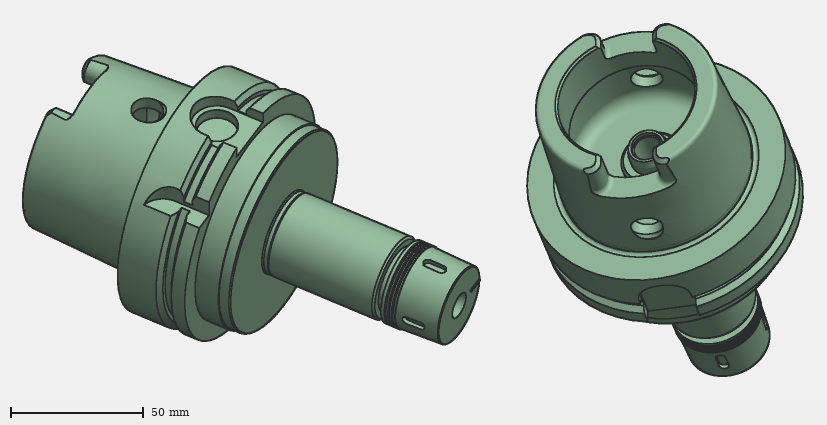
import cadquery as cq
import math

TOTAL_LENGTH = 170.0
MARK_HEIGHT = 0.5
NUT_FACE_X = TOTAL_LENGTH - MARK_HEIGHT

TIP_RADIUS = 35.2
TAPER_END_RADIUS = 37.4
TAPER_END_X = 47.6
TIP_ROUNDING = 1.7
ROOT_NECK_RADIUS = 37.2
ROOT_NECK_START_X = 48.3

FLANGE_X = 50.0
FLANGE_END_X = 79.0
FLANGE_RADIUS = 50.0
FACE_RELIEF_X = 49.5
FACE_RELIEF_OUTER_RADIUS = 39.8
GRIPPER_GROOVE_X = 69.95
GRIPPER_GROOVE_MOUTH = 6.6
GRIPPER_GROOVE_FLOOR = 3.5
GRIPPER_GROOVE_WALL_RADIUS = 47.5
GRIPPER_GROOVE_RADIUS = 45.7

COLLAR_RADIUS = 42.0
COLLAR_STEP_X = 89.0
COLLAR_END_X = 93.8
COLLAR_END_RADIUS = 41.5
COLLAR_CHAMFER = 0.5
NECK_RADIUS = 17.0
NECK_RELIEF_RADIUS = 16.8
NECK_ROOT_RADIUS = 17.2
NECK_RELIEF_START_X = 94.5
NECK_RELIEF_END_X = 96.2
NECK_START_X = 96.7
NECK_END_X = 142.1
NECK_CHAMFER = 0.8

NUT_GAP_RADIUS = 13.5
NUT_START_X = 145.2
NUT_RING_END_X = 151.3
NUT_RADIUS = 17.0
NUT_TAPER_START_RADIUS = 16.7
NUT_TAPER_END_RADIUS = 16.0
NUT_CHAMFER = 0.3
NUT_GROOVE_COUNT = 3
NUT_GROOVE_OFFSET = 1.5
NUT_GROOVE_PITCH = 1.5
NUT_GROOVE_WIDTH = 0.5
NUT_GROOVE_DEPTH = 0.5
NUT_SLOT_COUNT = 4
NUT_SLOT_X = 159.0
NUT_SLOT_LENGTH = 9.5
NUT_SLOT_WIDTH = 3.7
NUT_SLOT_FLOOR_RADIUS = 14.5
MARK_INNER_RADIUS = 8.3
MARK_OUTER_RADIUS = 15.3
MARK_WIDTH = 0.3

BORE_RADIUS = 26.5
BORE_CHAMFER = 0.8
BORE_END_X = 19.5
UNDERCUT_RADIUS = 31.3
UNDERCUT_ENTRY_ANGLE = 60.0
CAVITY_FLOOR_X = 46.5
CAVITY_FLOOR_ROUNDING = 5.6
BOSS_RADIUS = 11.98
BOSS_FACE_X = 42.2
BOSS_CHAMFER = 1.0
TUBE_RADIUS = 8.0
TUBE_TIP_RADIUS = 7.1
TUBE_FACE_X = 34.3
TUBE_TAPER_END_X = 37.4
COOLANT_RADIUS = 5.3
COOLANT_COUNTERBORE_RADIUS = 6.04
COOLANT_COUNTERBORE_DEPTH = 1.7

DRIVE_SLOT_WIDTH = 20.0
DRIVE_SLOT_TOP_DEPTH = 10.0
DRIVE_SLOT_BOTTOM_DEPTH = 15.0
DRIVE_SLOT_SHOULDER_Z = 31.8
DRIVE_SLOT_FLARE_RADIUS = 4.5
DRIVE_SLOT_ROOT_ROUNDING = 2.0
DRIVE_SLOT_BEVEL = 1.7

ACCESS_HOLE_X = 34.7
ACCESS_HOLE_RADIUS = 6.04
ACCESS_SINK_RADIUS = 6.5
ACCESS_SINK_SHIFT = 0.8
ACCESS_SINK_TOP_Z = 36.9

POCKET_WIDTH = 20.0
POCKET_CENTER_X = 64.8
POCKET_FLOOR_Z = 44.0
CHIP_HOLE_RADIUS = 8.0
CHIP_HOLE_DEPTH = 4.6
NOTCH_WALL_Y = -31.3
NOTCH_FLOOR_Z = 31.6


def revolve_about_axis(points):
    """Turn an (x, radius) outline around the X axis."""
    return cq.Workplane("XY").polyline(points).close().revolve(360, (0, 0, 0), (1, 0, 0))


def turned_body():
    """Outer shape as turned, with the rim of the shank tip rounded."""
    mouth = GRIPPER_GROOVE_MOUTH / 2
    floor = GRIPPER_GROOVE_FLOOR / 2
    body = revolve_about_axis([
        (0, 0),
        (0, TIP_RADIUS),
        (TAPER_END_X, TAPER_END_RADIUS),
        (ROOT_NECK_START_X, ROOT_NECK_RADIUS),
        (FLANGE_X, ROOT_NECK_RADIUS),
        (FLANGE_X, FLANGE_RADIUS),
        (GRIPPER_GROOVE_X - mouth, FLANGE_RADIUS),
        (GRIPPER_GROOVE_X - floor, GRIPPER_GROOVE_WALL_RADIUS),
        (GRIPPER_GROOVE_X - floor, GRIPPER_GROOVE_RADIUS),
        (GRIPPER_GROOVE_X + floor, GRIPPER_GROOVE_RADIUS),
        (GRIPPER_GROOVE_X + floor, GRIPPER_GROOVE_WALL_RADIUS),
        (GRIPPER_GROOVE_X + mouth, FLANGE_RADIUS),
        (FLANGE_END_X, FLANGE_RADIUS),
        (FLANGE_END_X, COLLAR_RADIUS),
        (COLLAR_STEP_X, COLLAR_RADIUS),
        (COLLAR_STEP_X, COLLAR_END_RADIUS),
        (COLLAR_END_X - COLLAR_CHAMFER, COLLAR_END_RADIUS),
        (COLLAR_END_X, COLLAR_END_RADIUS - COLLAR_CHAMFER),
        (COLLAR_END_X, NECK_ROOT_RADIUS),
        (NECK_RELIEF_START_X, NECK_RELIEF_RADIUS),
        (NECK_RELIEF_END_X, NECK_RELIEF_RADIUS),
        (NECK_START_X, NECK_RADIUS),
        (NECK_END_X - NECK_CHAMFER, NECK_RADIUS),
        (NECK_END_X, NECK_RADIUS - NECK_CHAMFER),
        (NECK_END_X, NUT_GAP_RADIUS),
        (NUT_START_X, NUT_GAP_RADIUS),
        (NUT_START_X, NUT_RADIUS),
        (NUT_RING_END_X, NUT_RADIUS),
        (NUT_RING_END_X, NUT_TAPER_START_RADIUS),
        (NUT_FACE_X - NUT_CHAMFER, NUT_TAPER_END_RADIUS),
        (NUT_FACE_X, NUT_TAPER_END_RADIUS - NUT_CHAMFER),
        (NUT_FACE_X, 0),
    ])
    return body.faces("<X").edges().fillet(TIP_ROUNDING)


def face_relief():
    """Rounded ring groove in the flange face around the shank root."""
    section_radius = (FACE_RELIEF_OUTER_RADIUS - ROOT_NECK_RADIUS) / 2
    ring_radius = ROOT_NECK_RADIUS + section_radius
    return cq.Workplane(
        cq.Solid.makeTorus(
            ring_radius,
            section_radius,
            pnt=cq.Vector(FACE_RELIEF_X, 0, 0),
            dir=cq.Vector(1, 0, 0),
        )
    )


def cavity():
    """Undercut hollow of the shank, leaving the coolant boss and tube on its floor."""
    entry_slope = math.tan(math.radians(UNDERCUT_ENTRY_ANGLE))
    entry_length = (UNDERCUT_RADIUS - BORE_RADIUS) / entry_slope
    hollow = revolve_about_axis([
        (0, 0),
        (0, BORE_RADIUS + BORE_CHAMFER),
        (BORE_CHAMFER, BORE_RADIUS),
        (BORE_END_X, BORE_RADIUS),
        (BORE_END_X + entry_length, UNDERCUT_RADIUS),
        (CAVITY_FLOOR_X, UNDERCUT_RADIUS),
        (CAVITY_FLOOR_X, 0),
    ]).faces(">X").edges().fillet(CAVITY_FLOOR_ROUNDING)
    boss = revolve_about_axis([
        (TUBE_FACE_X, 0),
        (TUBE_FACE_X, TUBE_TIP_RADIUS),
        (TUBE_TAPER_END_X, TUBE_RADIUS),
        (BOSS_FACE_X, TUBE_RADIUS),
        (BOSS_FACE_X, BOSS_RADIUS - BOSS_CHAMFER),
        (BOSS_FACE_X + BOSS_CHAMFER, BOSS_RADIUS),
        (CAVITY_FLOOR_X, BOSS_RADIUS),
        (CAVITY_FLOOR_X, 0),
    ])
    return hollow.cut(boss)


def coolant_bore():
    counterbore_end_x = TUBE_FACE_X + COOLANT_COUNTERBORE_DEPTH
    return revolve_about_axis([
        (TUBE_FACE_X, 0),
        (TUBE_FACE_X, COOLANT_COUNTERBORE_RADIUS),
        (counterbore_end_x, COOLANT_COUNTERBORE_RADIUS),
        (counterbore_end_x, COOLANT_RADIUS),
        (TOTAL_LENGTH, COOLANT_RADIUS),
        (TOTAL_LENGTH, 0),
    ])


def drive_slot_outline(start_x, growth):
    """Slot outline at start_x, its sides rounding outward into a flat shoulder."""
    half_width = DRIVE_SLOT_WIDTH / 2 + growth
    flare = DRIVE_SLOT_FLARE_RADIUS - growth
    shoulder_z = DRIVE_SLOT_SHOULDER_Z - growth
    arc_start_z = shoulder_z - flare
    arc_y = half_width + flare * (1 - math.cos(math.pi / 4))
    arc_z = arc_start_z + flare * math.sin(math.pi / 4)
    return (
        cq.Workplane("YZ", origin=(start_x, 0, 0))
        .moveTo(-half_width, 0)
        .lineTo(half_width, 0)
        .lineTo(half_width, arc_start_z)
        .threePointArc((arc_y, arc_z), (half_width + flare, shoulder_z))
        .lineTo(FLANGE_RADIUS, shoulder_z)
        .lineTo(FLANGE_RADIUS, FLANGE_RADIUS)
        .lineTo(-FLANGE_RADIUS, FLANGE_RADIUS)
        .lineTo(-FLANGE_RADIUS, shoulder_z)
        .lineTo(-half_width - flare, shoulder_z)
        .threePointArc((-arc_y, arc_z), (-half_width, arc_start_z))
        .close()
    )


def drive_slot(depth):
    """Slot across the upper shank wall with a rounded root and a beveled mouth."""
    channel = drive_slot_outline(0, 0).extrude(depth)
    channel = channel.faces(">X").edges().fillet(DRIVE_SLOT_ROOT_ROUNDING)
    mouth_wire = drive_slot_outline(0, DRIVE_SLOT_BEVEL).val()
    inner_wire = drive_slot_outline(DRIVE_SLOT_BEVEL, 0).val()
    mouth = cq.Solid.makeLoft([mouth_wire, inner_wire], True)
    return channel.union(cq.Workplane(mouth))


def upside_down(shape):
    return shape.rotate((0, 0, 0), (1, 0, 0), 180)


def access_hole():
    """Hole through the upper shank wall with an offset 45-degree countersink."""
    hole = (
        cq.Workplane("XY", origin=(ACCESS_HOLE_X, 0, BORE_RADIUS))
        .circle(ACCESS_HOLE_RADIUS)
        .extrude(FLANGE_RADIUS - BORE_RADIUS)
    )
    sink = cq.Solid.makeCone(
        ACCESS_SINK_RADIUS,
        0,
        ACCESS_SINK_RADIUS,
        pnt=cq.Vector(ACCESS_HOLE_X + ACCESS_SINK_SHIFT, 0, ACCESS_SINK_TOP_Z),
        dir=cq.Vector(0, 0, -1),
    )
    mouth = (
        cq.Workplane("XY", origin=(ACCESS_HOLE_X + ACCESS_SINK_SHIFT, 0, ACCESS_SINK_TOP_Z))
        .circle(ACCESS_SINK_RADIUS)
        .extrude(FLANGE_RADIUS - ACCESS_SINK_TOP_Z)
    )
    return hole.union(cq.Workplane(sink)).union(mouth)


def rim_pocket(center_y, floor_z):
    """Round-ended pocket that runs out through the +X side of the flange."""
    height = FLANGE_RADIUS - floor_z
    run_out = FLANGE_END_X - POCKET_CENTER_X
    base = cq.Workplane("XY", origin=(POCKET_CENTER_X, center_y, floor_z))
    round_end = base.circle(POCKET_WIDTH / 2).extrude(height)
    channel = base.center(run_out / 2, 0).rect(run_out, POCKET_WIDTH).extrude(height)
    return round_end.union(channel)


def chip_hole():
    return (
        cq.Workplane("XY", origin=(POCKET_CENTER_X, 0, POCKET_FLOOR_Z - CHIP_HOLE_DEPTH))
        .circle(CHIP_HOLE_RADIUS)
        .extrude(CHIP_HOLE_DEPTH)
    )


def nut_ring_groove(start_x):
    return (
        cq.Workplane("YZ", origin=(start_x, 0, 0))
        .circle(NUT_RADIUS)
        .circle(NUT_RADIUS - NUT_GROOVE_DEPTH)
        .extrude(NUT_GROOVE_WIDTH)
    )


def nut_slot():
    return (
        cq.Workplane("XY", origin=(NUT_SLOT_X, 0, NUT_SLOT_FLOOR_RADIUS))
        .slot2D(NUT_SLOT_LENGTH, NUT_SLOT_WIDTH)
        .extrude(NUT_RADIUS - NUT_SLOT_FLOOR_RADIUS)
    )


def face_mark():
    """Thin raised radial bar on the end face of the nut, sunk by its own height."""
    length = MARK_OUTER_RADIUS - MARK_INNER_RADIUS
    middle_y = (MARK_OUTER_RADIUS + MARK_INNER_RADIUS) / 2
    return cq.Workplane("XY", origin=(NUT_FACE_X, middle_y, 0)).box(2 * MARK_HEIGHT, length, MARK_WIDTH)


result = turned_body().cut(face_relief()).cut(cavity()).cut(coolant_bore())

result = result.cut(drive_slot(DRIVE_SLOT_TOP_DEPTH))
result = result.cut(upside_down(drive_slot(DRIVE_SLOT_BOTTOM_DEPTH)))
result = result.cut(access_hole()).cut(upside_down(access_hole()))

gripper_pocket = rim_pocket(0, POCKET_FLOOR_Z)
result = result.cut(gripper_pocket).cut(upside_down(gripper_pocket))
result = result.cut(chip_hole())
result = result.cut(rim_pocket(NOTCH_WALL_Y - POCKET_WIDTH / 2, NOTCH_FLOOR_Z))

for index in range(NUT_GROOVE_COUNT):
    groove_x = NUT_START_X + NUT_GROOVE_OFFSET + index * NUT_GROOVE_PITCH
    result = result.cut(nut_ring_groove(groove_x))
for index in range(NUT_SLOT_COUNT):
    angle = index * 360 / NUT_SLOT_COUNT
    result = result.cut(nut_slot().rotate((0, 0, 0), (1, 0, 0), angle))
result = result.union(face_mark())